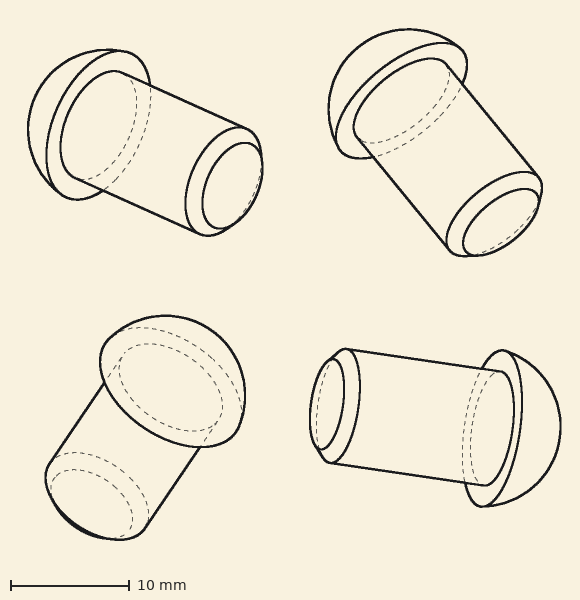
import cadquery as cq
import math

total_length = 20.7
head_height = 5.7
head_diameter = 13.3
shank_diameter = 9.7
chamfer = 1.01

head_radius = head_diameter / 2
shank_radius = shank_diameter / 2

sphere_radius = (head_radius**2 + head_height**2) / (2 * head_height)
middle_angle = math.asin(head_radius / sphere_radius) / 2
arc_middle = (
    sphere_radius * (1 - math.cos(middle_angle)),
    sphere_radius * math.sin(middle_angle),
)

profile = (
    cq.Workplane("XY")
    .threePointArc(arc_middle, (head_height, head_radius))
    .lineTo(head_height, shank_radius)
    .lineTo(total_length - chamfer, shank_radius)
    .lineTo(total_length, shank_radius - chamfer)
    .lineTo(total_length, 0)
    .close()
)
result = profile.revolve(360, (0, 0, 0), (1, 0, 0))